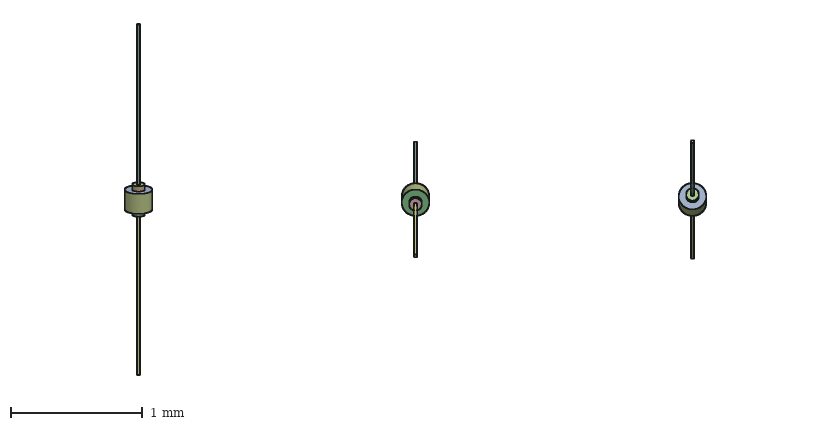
import cadquery as cq

pin_length = 2.81
pin_diameter = 0.025
body_diameter = 0.21
body_height = 0.16
collar_diameter = 0.098
collar_height = 0.042


def centred_cylinder(diameter, height):
    """Cylinder along Z, centred on the origin."""
    return cq.Workplane("XY").cylinder(height, diameter / 2)


pin = centred_cylinder(pin_diameter, pin_length)

body = centred_cylinder(body_diameter, body_height)

collar = centred_cylinder(collar_diameter, body_height + 2 * collar_height)

result = body.union(collar).union(pin)